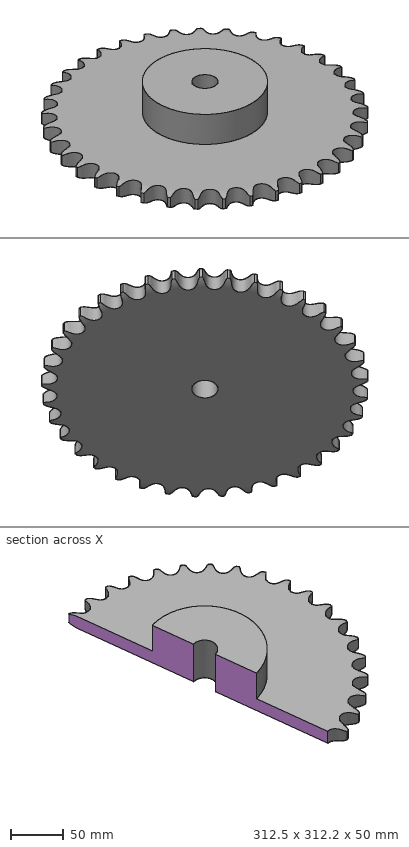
import cadquery as cq
import math

tooth_count = 37
half_pitch_angle = math.pi / tooth_count

overall_width = 312.5
overall_height = 50.0
plate_thickness = 16.2
hub_diameter = 120.0
bore_diameter = 25.0

root_radius = 141.8
seat_radius = 7.8
concave_radius = 20.5
straight_length = 2.2
tip_land_width = 2.8
seat_half_angle = math.radians(55 - 60 / tooth_count)
concave_sweep = math.radians(18 - 56 / tooth_count)

tip_half_angle = tip_land_width / overall_width
tip_radius = overall_width / 2 / math.cos(half_pitch_angle / 2 - tip_half_angle)

relief_start_radius = 145.5
relief_depth = 2.65


def step(point, distance, angle):
    """Point reached from another one; the angle is measured from -Y towards +X."""
    x, y = point
    return (x + distance * math.sin(angle), y - distance * math.cos(angle))


def rotate(point, angle):
    x, y = point
    return (
        x * math.cos(angle) - y * math.sin(angle),
        x * math.sin(angle) + y * math.cos(angle),
    )


def mirror(point):
    return (-point[0], point[1])


def flank_points():
    """Right half of the tooth gap centred on +Y, from its bottom to the tooth tip."""
    straight_angle = seat_half_angle + concave_sweep
    seat_center = (0.0, root_radius + seat_radius)
    seat_bottom = step(seat_center, seat_radius, 0)
    seat_end = step(seat_center, seat_radius, seat_half_angle)

    concave_center = step(seat_end, -concave_radius, seat_half_angle)
    concave_middle = step(concave_center, concave_radius, seat_half_angle + concave_sweep / 2)
    concave_end = step(concave_center, concave_radius, straight_angle)

    straight_end = step(concave_end, straight_length, straight_angle + math.pi / 2)

    tip_angle = half_pitch_angle - tip_half_angle
    tip = (tip_radius * math.sin(tip_angle), tip_radius * math.cos(tip_angle))
    chord_length = math.dist(straight_end, tip)
    chord_angle = math.atan2(tip[0] - straight_end[0], straight_end[1] - tip[1])
    convex_sweep = 2 * (straight_angle + math.pi / 2 - chord_angle)
    convex_radius = chord_length / (2 * math.sin(abs(convex_sweep) / 2))
    convex_center = step(straight_end, convex_radius, straight_angle)
    convex_middle = step(convex_center, -convex_radius, straight_angle - convex_sweep / 2)
    return [seat_bottom, seat_end, concave_middle, concave_end, straight_end, convex_middle, tip]


def toothed_plate():
    right_side = flank_points()
    left_side = [mirror(point) for point in right_side]
    tip_middle = rotate((0.0, tip_radius), half_pitch_angle)

    outline = cq.Workplane("XY").moveTo(*right_side[-1])
    for tooth in range(tooth_count):
        turn = 2 * half_pitch_angle * tooth
        right = [rotate(point, turn) for point in right_side]
        left = [rotate(point, turn) for point in left_side]
        next_tip = rotate(right_side[-1], turn + 2 * half_pitch_angle)
        outline = (
            outline.threePointArc(right[5], right[4])
            .lineTo(*right[3])
            .threePointArc(right[2], right[1])
            .threePointArc(right[0], left[1])
            .threePointArc(left[2], left[3])
            .lineTo(*left[4])
            .threePointArc(left[5], left[6])
            .threePointArc(rotate(tip_middle, turn), next_tip)
        )
    return outline.close().extrude(plate_thickness)


def relieved_blank():
    """Plain disc whose rim carries the tooth relief on both faces."""
    relief_width = tip_radius - relief_start_radius
    relief_radius = (relief_width**2 + relief_depth**2) / (2 * relief_depth)
    half_sweep = math.asin(relief_width / relief_radius) / 2
    middle_radius = relief_start_radius + relief_radius * math.sin(half_sweep)
    middle_drop = relief_radius * (1 - math.cos(half_sweep))
    return (
        cq.Workplane("XZ")
        .lineTo(relief_start_radius, 0)
        .threePointArc((middle_radius, middle_drop), (tip_radius, relief_depth))
        .lineTo(tip_radius, plate_thickness - relief_depth)
        .threePointArc(
            (middle_radius, plate_thickness - middle_drop),
            (relief_start_radius, plate_thickness),
        )
        .lineTo(0, plate_thickness)
        .close()
        .revolve(360, (0, 0, 0), (0, 1, 0))
    )


hub = cq.Workplane("XY").circle(hub_diameter / 2).extrude(overall_height)
bore = cq.Workplane("XY").circle(bore_diameter / 2).extrude(overall_height)

result = toothed_plate().intersect(relieved_blank()).union(hub).cut(bore)